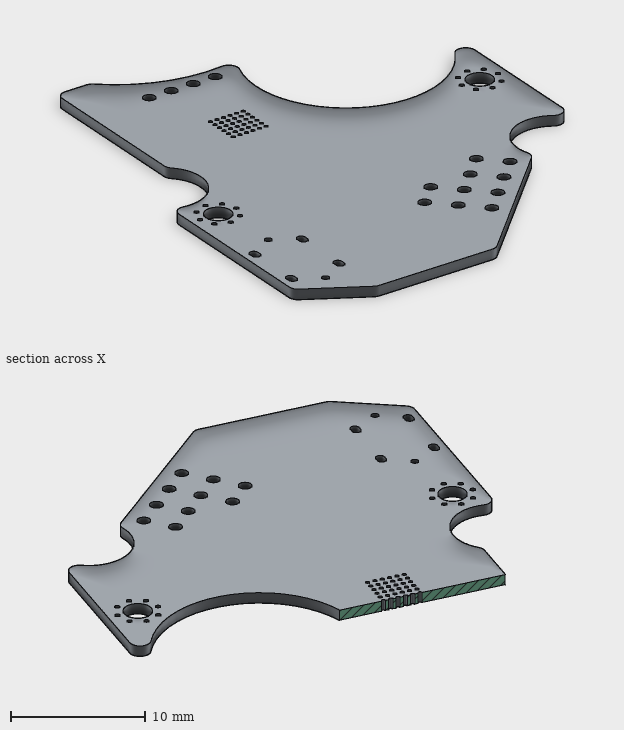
import cadquery as cq
import math

length = 39.18
width = 33.35
thickness = 0.9
corner_radius = 0.82

left_foot_y = 3.55
right_edge_low_y = 5.45
right_edge_high_y = 16.3
lower_slope = math.radians(60)
upper_slope = math.radians(135)

big_notch = ((7.45, 24.72), 8.15)
top_notch = ((26.8, 30.25), 3.35)
flank_notch = ((-8.62, 14.95), 12.0)
bottom_notch = ((17.1, 1.5), 3.33)

mount_centres = [(16.02, 30.9), (22.8, 2.43)]
mount_diameter = 2.2
ring_radius = 1.65
ring_count = 8
ring_via_diameter = 0.4

pin_diameter = 1.0
row_top = (4.4, 14.95)
row_pitch = 2.0
row_count = 4
header_start = (28.25, 25.15)
header_pitch = 2.55
header_step = header_pitch / math.sqrt(2)
header_columns = 4

field_centre = (11.68, 12.0)
field_span = 2.98
field_count = 6
field_via_diameter = 0.3

connector_centre = (32.13, 3.1)
slot_spacing_x = 4.78
slot_spacing_y = 4.3
slot_length = 1.0
slot_width = 0.7
locating_spacing = 7.5
locating_diameter = 0.6


def across_at_height(notch, y, side):
    """Point at height y on the notch circle grown by the corner radius."""
    (cx, cy), radius = notch
    return (cx + side * math.sqrt((radius + corner_radius) ** 2 - (y - cy) ** 2), y)


def below_at_place(notch, x):
    """Lower point at place x on the notch circle grown by the corner radius."""
    (cx, cy), radius = notch
    return (x, cy - math.sqrt((radius + corner_radius) ** 2 - (x - cx) ** 2))


def where_notches_cross(first, second):
    """Crossing of two grown notch circles, on the right when looking from first to second."""
    (ax, ay), a_radius = first
    (bx, by), b_radius = second
    a_reach = a_radius + corner_radius
    b_reach = b_radius + corner_radius
    gap = math.hypot(bx - ax, by - ay)
    spread = math.acos((a_reach**2 + gap**2 - b_reach**2) / (2 * a_reach * gap))
    angle = math.atan2(by - ay, bx - ax) - spread
    return (ax + a_reach * math.cos(angle), ay + a_reach * math.sin(angle))


def slope_meets_notch(start, angle, notch):
    """First point where a ray from start meets the grown notch circle."""
    (cx, cy), radius = notch
    dx, dy = cx - start[0], cy - start[1]
    along = dx * math.cos(angle) + dy * math.sin(angle)
    aside = dy * math.cos(angle) - dx * math.sin(angle)
    reach = along - math.sqrt((radius + corner_radius) ** 2 - aside ** 2)
    return (start[0] + reach * math.cos(angle), start[1] + reach * math.sin(angle))


def notch_arc(path, notch, start, end):
    """Follow the near side of the grown notch circle from start to end."""
    (cx, cy), radius = notch
    mid_x = (start[0] + end[0]) / 2 - cx
    mid_y = (start[1] + end[1]) / 2 - cy
    stretch = (radius + corner_radius) / math.hypot(mid_x, mid_y)
    return path.threePointArc((cx + stretch * mid_x, cy + stretch * mid_y), end)


def make_plate():
    """Trace the centres of the rounded corners, then grow that outline by the corner radius."""
    r = corner_radius
    right = length - r
    top = width - r
    slope_foot_x = length - right_edge_low_y / math.tan(lower_slope)

    tab_left = across_at_height(bottom_notch, r, 1)
    tab_right = (slope_foot_x - r * math.tan(lower_slope / 2), r)
    right_low = (right, right_edge_low_y + r * math.tan((math.pi / 2 - lower_slope) / 2))
    right_high = (right, right_edge_high_y - r * math.tan((upper_slope - math.pi / 2) / 2))
    slope_tip = slope_meets_notch(right_high, upper_slope, top_notch)
    top_right = across_at_height(top_notch, top, -1)
    top_left = across_at_height(big_notch, top, 1)
    left_tip = where_notches_cross(flank_notch, big_notch)
    flank_foot = below_at_place(flank_notch, r)
    foot_left = (r, left_foot_y + r)
    foot_right = across_at_height(bottom_notch, left_foot_y + r, -1)

    path = cq.Workplane("XY").polyline([tab_left, tab_right, right_low, right_high, slope_tip])
    path = notch_arc(path, top_notch, slope_tip, top_right).lineTo(*top_left)
    path = notch_arc(path, big_notch, top_left, left_tip)
    path = notch_arc(path, flank_notch, left_tip, flank_foot)
    path = path.lineTo(*foot_left).lineTo(*foot_right)
    path = notch_arc(path, bottom_notch, foot_right, tab_left).close()
    return path.offset2D(r, "arc").extrude(thickness)


def round_holes(points, diameter):
    return cq.Workplane("XY").pushPoints(points).circle(diameter / 2).extrude(thickness)


def mount_via_points():
    points = []
    for x, y in mount_centres:
        for i in range(ring_count):
            angle = 2 * math.pi * i / ring_count
            points.append((x + ring_radius * math.cos(angle), y + ring_radius * math.sin(angle)))
    return points


def pin_points():
    points = [(row_top[0], row_top[1] - i * row_pitch) for i in range(row_count)]
    x, y = header_start
    for i in range(header_columns):
        points.append((x + i * header_step, y - i * header_step))
        points.append((x + (i - 1) * header_step, y - (i + 1) * header_step))
    for i in range(2, header_columns):
        points.append((x + (i - 2) * header_step, y - (i + 2) * header_step))
    return points


def connector_cuts():
    slots = (
        cq.Workplane("XY")
        .center(*connector_centre)
        .rarray(slot_spacing_x, slot_spacing_y, 2, 2)
        .slot2D(slot_length, slot_width)
        .extrude(thickness)
    )
    locating_holes = (
        cq.Workplane("XY")
        .center(*connector_centre)
        .rarray(locating_spacing, 0.4, 2, 1)
        .circle(locating_diameter / 2)
        .extrude(thickness)
    )
    return slots.add(locating_holes).combine()


def via_field():
    pitch = field_span / (field_count - 1)
    return (
        cq.Workplane("XY")
        .center(*field_centre)
        .rarray(pitch, pitch, field_count, field_count)
        .circle(field_via_diameter / 2)
        .extrude(thickness)
    )


result = (
    make_plate()
    .cut(round_holes(mount_centres, mount_diameter))
    .cut(round_holes(mount_via_points(), ring_via_diameter))
    .cut(round_holes(pin_points(), pin_diameter))
    .cut(via_field())
    .cut(connector_cuts())
)